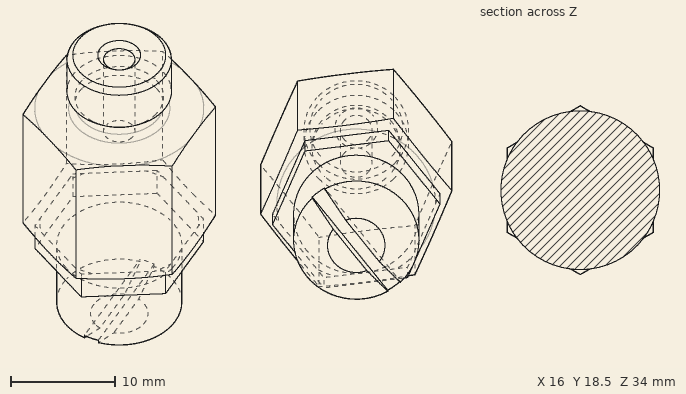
import cadquery as cq
import math

cone_top = 1.5
small_hex_bottom = 9.0
main_hex_bottom = 12.0
shoulder = 27.0
overall_height = 34.0

main_hex_flats = 16.0
small_hex_flats = 14.0
half_side_angle = 30.0
hex_chamfer_angle = 15.0
envelope_margin = 1.0
top_chamfer_diameter = 16.2
bottom_chamfer_diameter = 15.2

barrel_diameter = 12.0
cone_end_diameter = 5.5
slot_width = 1.5
slot_depth = 1.8

spigot_diameter = 10.0
spigot_chamfer = 0.55
spigot_runout_depth = 4.75
undercut_diameter = 8.5
undercut_fillet = 0.6

bore_diameter = 3.0
bore_depth = 10.0
countersink_diameter = 4.1


def hex_prism(across_flats, bottom, top):
    """Hexagonal prism about Z with two flats facing +X and -X."""
    across_corners = across_flats / math.cos(math.radians(half_side_angle))
    prism = cq.Workplane("XY").polygon(6, across_corners).extrude(top - bottom)
    return prism.rotate((0, 0, 0), (0, 0, 1), half_side_angle).translate((0, 0, bottom))


def main_hexagon():
    """Large hexagon whose corners are turned down conically at both ends."""
    corner_radius = main_hex_flats / 2 / math.cos(math.radians(half_side_angle))
    envelope_radius = corner_radius + envelope_margin
    slope = math.tan(math.radians(hex_chamfer_angle))
    bottom_radius = bottom_chamfer_diameter / 2
    top_radius = top_chamfer_diameter / 2
    bottom_rise = (envelope_radius - bottom_radius) * slope
    top_drop = (envelope_radius - top_radius) * slope
    envelope = (
        cq.Workplane("XZ")
        .moveTo(0, main_hex_bottom)
        .lineTo(bottom_radius, main_hex_bottom)
        .lineTo(envelope_radius, main_hex_bottom + bottom_rise)
        .lineTo(envelope_radius, shoulder - top_drop)
        .lineTo(top_radius, shoulder)
        .lineTo(0, shoulder)
        .close()
        .revolve(360, (0, 0, 0), (0, 1, 0))
    )
    return hex_prism(main_hex_flats, main_hex_bottom, shoulder).intersect(envelope)


def barrel():
    """Lower cylinder ending in a truncated cone."""
    radius = barrel_diameter / 2
    return (
        cq.Workplane("XZ")
        .lineTo(cone_end_diameter / 2, 0)
        .lineTo(radius, cone_top)
        .lineTo(radius, small_hex_bottom)
        .lineTo(0, small_hex_bottom)
        .close()
        .revolve(360, (0, 0, 0), (0, 1, 0))
    )


def spigot():
    """Upper cylinder with a 45 degree run-out into a filleted undercut."""
    radius = spigot_diameter / 2
    undercut_radius = undercut_diameter / 2
    runout_top = overall_height - spigot_runout_depth
    runout_bottom = runout_top - (radius - undercut_radius)
    arc_inset = undercut_fillet * (1 - math.sqrt(0.5))
    return (
        cq.Workplane("XZ")
        .moveTo(0, shoulder)
        .lineTo(undercut_radius + undercut_fillet, shoulder)
        .threePointArc(
            (undercut_radius + arc_inset, shoulder + arc_inset),
            (undercut_radius, shoulder + undercut_fillet),
        )
        .lineTo(undercut_radius, runout_bottom)
        .lineTo(radius, runout_top)
        .lineTo(radius, overall_height - spigot_chamfer)
        .lineTo(radius - spigot_chamfer, overall_height)
        .lineTo(0, overall_height)
        .close()
        .revolve(360, (0, 0, 0), (0, 1, 0))
    )


def bore():
    """Countersunk flat-bottomed bore, opening at the top face."""
    radius = bore_diameter / 2
    mouth_radius = countersink_diameter / 2
    floor = overall_height - bore_depth
    return (
        cq.Workplane("XZ")
        .moveTo(0, floor)
        .lineTo(radius, floor)
        .lineTo(radius, overall_height - (mouth_radius - radius))
        .lineTo(mouth_radius, overall_height)
        .lineTo(0, overall_height)
        .close()
        .revolve(360, (0, 0, 0), (0, 1, 0))
    )


def driver_slot():
    """Screwdriver slot across the lower end, running along Y."""
    return cq.Workplane("XY").rect(slot_width, barrel_diameter).extrude(slot_depth)


body = (
    barrel()
    .union(hex_prism(small_hex_flats, small_hex_bottom, main_hex_bottom))
    .union(main_hexagon())
    .union(spigot())
)
result = body.cut(bore()).cut(driver_slot())